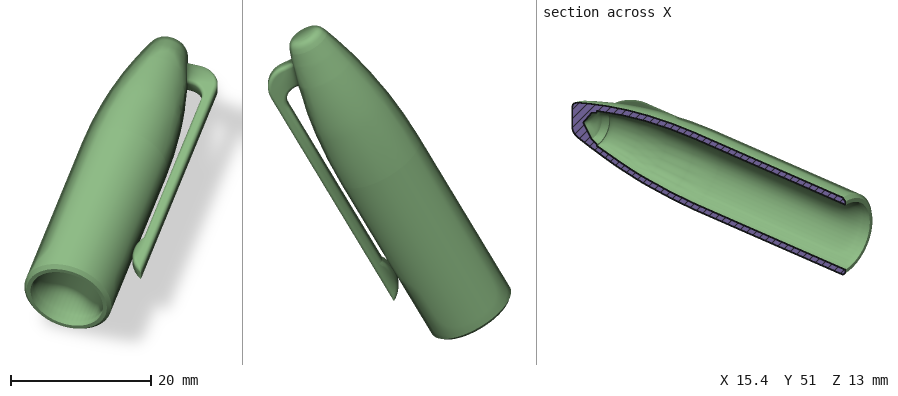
import cadquery as cq
import math

LENGTH = 51.0
BODY_DIAMETER = 13.0
BODY_RADIUS = BODY_DIAMETER / 2
BORE_RADIUS = 5.4
RIM_CHAMFER = 0.5
STRAIGHT_LENGTH = 28.05
SHOULDER_Y = 49.7
SHOULDER_RADIUS = 3.0
TIP_FLAT_RADIUS = 1.6

LEDGE_OUTER_RADIUS = 2.9
LEDGE_INNER_RADIUS = 2.65
RECESS_RADIUS = 2.2
RECESS_DEPTH = 1.0
CONE_DEPTH = 1.55

CLIP_WIDTH = 2.15
OVERALL_WIDTH = 15.35
CLIP_OUTER_X = OVERALL_WIDTH - BODY_RADIUS
CLIP_THICKNESS = 1.6
CLIP_TOP_Y = 48.1
CLIP_ARM_BOTTOM_Y = 44.4
CLIP_ROOT_X = 3.05
CLIP_OUTER_BEND = 3.55
CLIP_INNER_BEND = 2.3
CLIP_EDGE_FILLET = 0.5
CLIP_END_Y = 7.35
BULGE_CENTER_Y = 11.4
BULGE_GAP = 0.05

nose_length = SHOULDER_Y - STRAIGHT_LENGTH
nose_drop = BODY_RADIUS - SHOULDER_RADIUS
NOSE_ARC_RADIUS = (nose_length**2 + nose_drop**2) / (2 * nose_drop)


def turn(profile):
    """Revolve a closed half profile about the Y axis."""
    return profile.close().revolve(360, (0, 0, 0), (0, 1, 0))


def make_body():
    nose_angle = math.asin(nose_length / NOSE_ARC_RADIUS)
    nose_end_direction = (-math.sin(nose_angle), math.cos(nose_angle))
    crown_directions = [nose_end_direction, (-1, 0)]
    nose_end = (SHOULDER_RADIUS, SHOULDER_Y)
    return turn(
        cq.Workplane("XY")
        .lineTo(BODY_RADIUS - RIM_CHAMFER, 0)
        .lineTo(BODY_RADIUS, RIM_CHAMFER)
        .lineTo(BODY_RADIUS, STRAIGHT_LENGTH)
        .tangentArcPoint(nose_end, relative=False)
        .spline([(TIP_FLAT_RADIUS, LENGTH)], tangents=crown_directions, includeCurrent=True)
        .lineTo(0, LENGTH)
    )


def make_cavity():
    arc_radius = NOSE_ARC_RADIUS - (BODY_RADIUS - BORE_RADIUS)
    drop = BORE_RADIUS - LEDGE_OUTER_RADIUS
    ledge_y = STRAIGHT_LENGTH + math.sqrt(arc_radius**2 - (arc_radius - drop) ** 2)
    recess_y = ledge_y + RECESS_DEPTH
    return turn(
        cq.Workplane("XY")
        .lineTo(BORE_RADIUS, 0)
        .lineTo(BORE_RADIUS, STRAIGHT_LENGTH)
        .tangentArcPoint((LEDGE_OUTER_RADIUS, ledge_y), relative=False)
        .lineTo(LEDGE_INNER_RADIUS, ledge_y)
        .lineTo(RECESS_RADIUS, recess_y)
        .lineTo(0, recess_y + CONE_DEPTH)
    )


def make_clip():
    inner_x = CLIP_OUTER_X - CLIP_THICKNESS
    bulge_x = BODY_RADIUS + BULGE_GAP
    bulge_height = CLIP_OUTER_X - bulge_x
    end_offset = BULGE_CENTER_Y - CLIP_END_Y
    bulge_radius = (bulge_height**2 + end_offset**2) / (2 * bulge_height)
    rise = inner_x - bulge_x
    bulge_top_y = BULGE_CENTER_Y + math.sqrt(bulge_radius**2 - (bulge_radius - rise) ** 2)
    return (
        cq.Workplane("XY", origin=(0, 0, -CLIP_WIDTH / 2))
        .moveTo(CLIP_ROOT_X, CLIP_TOP_Y)
        .lineTo(CLIP_OUTER_X - CLIP_OUTER_BEND, CLIP_TOP_Y)
        .radiusArc((CLIP_OUTER_X, CLIP_TOP_Y - CLIP_OUTER_BEND), CLIP_OUTER_BEND)
        .lineTo(CLIP_OUTER_X, CLIP_END_Y)
        .threePointArc((bulge_x, BULGE_CENTER_Y), (inner_x, bulge_top_y))
        .lineTo(inner_x, CLIP_ARM_BOTTOM_Y - CLIP_INNER_BEND)
        .radiusArc((inner_x - CLIP_INNER_BEND, CLIP_ARM_BOTTOM_Y), -CLIP_INNER_BEND)
        .lineTo(CLIP_ROOT_X, CLIP_ARM_BOTTOM_Y)
        .close()
        .extrude(CLIP_WIDTH)
        .faces("|Z")
        .edges()
        .fillet(CLIP_EDGE_FILLET)
    )


result = make_body().union(make_clip()).cut(make_cavity())